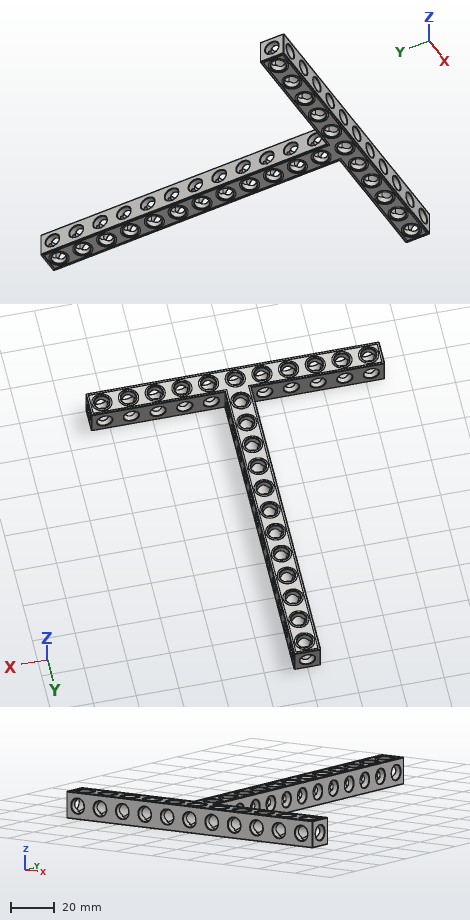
import cadquery as cq

pitch = 12.5
cross_hole_count = 11
stem_hole_count = 12
hole_diameter = 7.0
chamfer_size = 0.3
rim_width = 0.8
recess_depth = 0.2

half = pitch / 2
half_cross = cross_hole_count * pitch / 2
stem_end = (stem_hole_count + 0.5) * pitch
hole_radius = hole_diameter / 2
mouth_radius = hole_radius + chamfer_size
hole_rim_radius = mouth_radius + rim_width
recess_inset = chamfer_size + rim_width

cross_positions = [(i - (cross_hole_count - 1) / 2) * pitch for i in range(cross_hole_count)]
stem_positions = [(i + 1) * pitch for i in range(stem_hole_count)]
vertical_positions = [(x, 0) for x in cross_positions] + [(0, y) for y in stem_positions]


def tee_prism(inset, bottom, height):
    """T-shaped prism whose outline lies the given inset inside the outer walls."""
    outer_x = half_cross - inset
    side = half - inset
    tip = stem_end - inset
    outline = [
        (-outer_x, -side),
        (outer_x, -side),
        (outer_x, side),
        (side, side),
        (side, tip),
        (-side, tip),
        (-side, side),
        (-outer_x, side),
    ]
    return cq.Workplane("XY").workplane(offset=bottom).polyline(outline).close().extrude(height)


def make_body():
    """T of two square beams with chamfered edges; the two inner corners stay sharp."""
    body = tee_prism(0, -half, pitch)
    vertical_edges = cq.selectors.ParallelDirSelector(cq.Vector(0, 0, 1))
    around_inner_corners = cq.selectors.BoxSelector((-pitch, 0, -half), (pitch, pitch, half))
    body = body.edges(vertical_edges - around_inner_corners).chamfer(chamfer_size)
    return body.faces("|Z").edges().chamfer(chamfer_size)


def make_top_recess():
    """Shallow recess that leaves a rim along the outline and around each hole."""
    floor = half - recess_depth
    hole_rims = (
        cq.Workplane("XY")
        .workplane(offset=floor)
        .pushPoints(vertical_positions)
        .circle(hole_rim_radius)
        .extrude(recess_depth)
    )
    return tee_prism(recess_inset, floor, recess_depth).cut(hole_rims)


def hole_cutter(start, direction, length):
    """Pieces of a through hole with a chamfer at both mouths."""
    axis = cq.Vector(*direction)
    near = cq.Vector(*start)
    far = near + axis * length
    return [
        cq.Solid.makeCylinder(hole_radius, length, near, axis),
        cq.Solid.makeCone(mouth_radius, hole_radius, chamfer_size, near, axis),
        cq.Solid.makeCone(mouth_radius, hole_radius, chamfer_size, far, axis * -1),
    ]


def vertical_holes():
    """Holes along Z at every position of both beams."""
    cutters = []
    for x, y in vertical_positions:
        cutters += hole_cutter((x, y, -half), (0, 0, 1), pitch)
    return cutters


def crossbar_side_holes():
    """Holes along Y through the crossbar; the middle one runs on through the stem."""
    cutters = []
    for x in cross_positions:
        length = stem_end + half if x == 0 else pitch
        cutters += hole_cutter((x, -half, 0), (0, 1, 0), length)
    return cutters


def stem_side_holes():
    """Holes along X through the stem."""
    cutters = []
    for y in stem_positions:
        cutters += hole_cutter((-half, y, 0), (1, 0, 0), pitch)
    return cutters


def crossbar_long_hole():
    """Hole along X through the whole crossbar."""
    return hole_cutter((-half_cross, 0, 0), (1, 0, 0), 2 * half_cross)


top_recess = make_top_recess()
recessed_body = make_body().cut(top_recess).cut(top_recess.mirror("XY"))
hole_cutters = vertical_holes() + crossbar_side_holes() + stem_side_holes() + crossbar_long_hole()
drilled_body = recessed_body.val().cut(*hole_cutters)
result = cq.Workplane(drilled_body).solids()